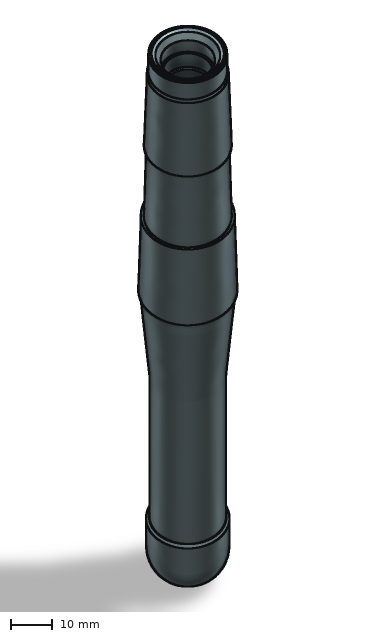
import cadquery as cq

total_length = 180.5
cap_height = 20.0
cap_edge_chamfer = 0.7
shaft_top = 69.3
flare_top = 94.5
grip_bottom = 98.7
grip_top = 124.4
middle_taper_top = 148.9
neck_bottom = 174.5
shoulder_height = 0.9
rim_chamfer = 0.27

cap_diameter = 20.0
shaft_diameter = 18.4
flare_diameter = 22.4
grip_bottom_diameter = 23.8
grip_top_diameter = 22.5
middle_bottom_diameter = 21.1
middle_top_diameter = 20.0
upper_bottom_diameter = 21.1
upper_top_diameter = 19.7
neck_diameter = 19.0

mouth_diameter = 17.3
funnel_diameter = 15.5
bore_diameter = 13.0
step_diameter = 12.0
drill_diameter = 10.3
lip_depth = 0.5
mouth_depth = 2.2
bore_depth = 6.1
step_depth = 10.8
drill_depth = 16.2
drill_point_height = 2.9


def revolve_profile(points):
    """Revolve a list of (radius, z) points, closed, about the Z axis."""
    return cq.Workplane("XZ").polyline(points).close().revolve(360, (0, 0), (0, 1))


def make_cap():
    """Solid end cap: a hemispherical tip below a short chamfered cylinder."""
    radius = cap_diameter / 2
    arc_offset = radius * 0.5**0.5
    return (
        cq.Workplane("XZ")
        .moveTo(0, 0)
        .threePointArc((arc_offset, radius - arc_offset), (radius, radius))
        .lineTo(radius, cap_height - cap_edge_chamfer)
        .lineTo(radius - cap_edge_chamfer, cap_height)
        .lineTo(0, cap_height)
        .close()
        .revolve(360, (0, 0), (0, 1))
    )


def make_bore():
    """Flared two-stage mouth, two straight steps and a drilled hole with a conical end."""
    bore_floor = total_length - bore_depth
    step_floor = total_length - step_depth
    drill_floor = total_length - drill_depth
    return revolve_profile([
        (0, total_length),
        (mouth_diameter / 2, total_length),
        (funnel_diameter / 2, total_length - lip_depth),
        (bore_diameter / 2, total_length - mouth_depth),
        (bore_diameter / 2, bore_floor),
        (step_diameter / 2, bore_floor),
        (step_diameter / 2, step_floor),
        (drill_diameter / 2, step_floor),
        (drill_diameter / 2, drill_floor),
        (0, drill_floor - drill_point_height),
    ])


def make_handle():
    """Straight shaft, flared and tapered grip sections and a bored neck."""
    outside = revolve_profile([
        (0, cap_height),
        (shaft_diameter / 2, cap_height),
        (shaft_diameter / 2, shaft_top),
        (flare_diameter / 2, flare_top),
        (flare_diameter / 2, grip_bottom),
        (grip_bottom_diameter / 2, grip_bottom),
        (grip_top_diameter / 2, grip_top),
        (middle_bottom_diameter / 2, grip_top),
        (middle_top_diameter / 2, middle_taper_top),
        (upper_bottom_diameter / 2, middle_taper_top),
        (upper_top_diameter / 2, neck_bottom - shoulder_height),
        (neck_diameter / 2, neck_bottom),
        (neck_diameter / 2, total_length - rim_chamfer),
        (neck_diameter / 2 - rim_chamfer, total_length),
        (0, total_length),
    ])
    return outside.cut(make_bore())


cap = make_cap()
handle = make_handle()

result = cq.Compound.makeCompound([cap.val(), handle.val()])